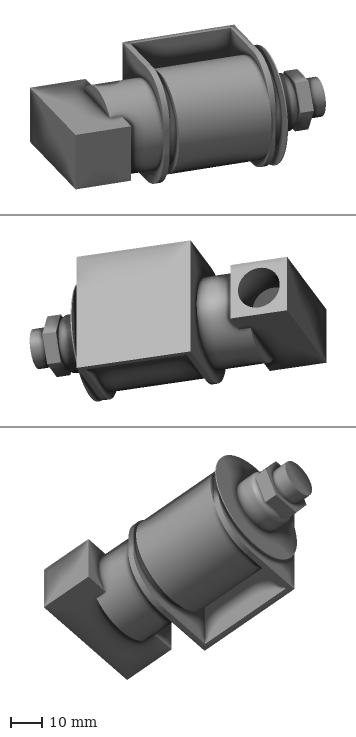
import cadquery as cq
import math


block_length = 40.0
block_side = 19.0
port_radius = 7.0
port_depth = 15.0

sheet = 2.0
bracket_height = 39.4
bracket_left = -21.2
corner_radius = 15.35
bracket_front = 32.0
bracket_length = 38.25
bracket_back = bracket_front + bracket_length

body_start, body_radius = 15.0, 15.0
collar_radius = 14.35
coil_start, coil_radius = 36.6, 17.0
coil_end = bracket_back - sheet
collar_end = 72.5
washer_radius, washer_thickness = 19.4, 0.4
neck_radius, neck_rounding = 9.45, 2.4
nut_start, nut_thickness = 80.95, 4.5
nut_across_flats = 17.0
stem_radius = 6.45
valve_end = 90.85


def cylinder(radius, start, end):
    """Solid cylinder on the valve axis between two Y positions."""
    return cq.Workplane("XZ", origin=(0, start, 0)).circle(radius).extrude(start - end)


def make_flow_block():
    """Square bar lying across the valve."""
    return cq.Workplane("XY").box(block_length, block_side, block_side).translate((0, block_side / 2, 0))


def make_port():
    """Cutter for the blind port in the -X end of the flow block."""
    port_centre = (-block_length / 2, block_side / 2, 0)
    return cq.Workplane("YZ", origin=port_centre).circle(port_radius).extrude(port_depth)


def make_nut():
    """Hexagonal nut with two corners on the X direction."""
    across_corners = nut_across_flats / math.cos(math.pi / 6)
    return cq.Workplane("XZ", origin=(0, nut_start, 0)).polygon(6, across_corners).extrude(-nut_thickness)


def make_valve():
    """Flow block, body, coil, washer, neck, nut and stem as one solid."""
    neck = cylinder(neck_radius, collar_end, nut_start).faces(">Y").edges().fillet(neck_rounding)
    sections = [
        cylinder(body_radius, body_start, bracket_front),
        cylinder(collar_radius, bracket_front, collar_end),
        cylinder(coil_radius, coil_start, coil_end),
        cylinder(washer_radius, collar_end, collar_end + washer_thickness),
        neck,
        make_nut(),
        cylinder(stem_radius, nut_start, valve_end),
    ]
    valve = make_flow_block()
    for section in sections:
        valve = valve.union(section)
    return valve.cut(make_port())


def make_bracket():
    """U of sheet metal, open towards +X, with rounded legs and a hole for the collar in each leg."""
    outer = (
        cq.Workplane("XZ", origin=(0, bracket_front, 0))
        .moveTo((bracket_left + corner_radius) / 2, 0)
        .rect(corner_radius - bracket_left, bracket_height)
        .extrude(-bracket_length)
        .edges("|Y and >X")
        .fillet(corner_radius)
    )
    gap_left = bracket_left + sheet
    gap = (
        cq.Workplane("XY")
        .box(corner_radius - gap_left, bracket_length - 2 * sheet, bracket_height)
        .translate(((gap_left + corner_radius) / 2, (bracket_front + bracket_back) / 2, 0))
    )
    return outer.cut(gap).cut(cylinder(collar_radius, bracket_front, bracket_back))


valve = make_valve()
bracket = make_bracket()
result = cq.Compound.makeCompound([valve.val(), bracket.val()])